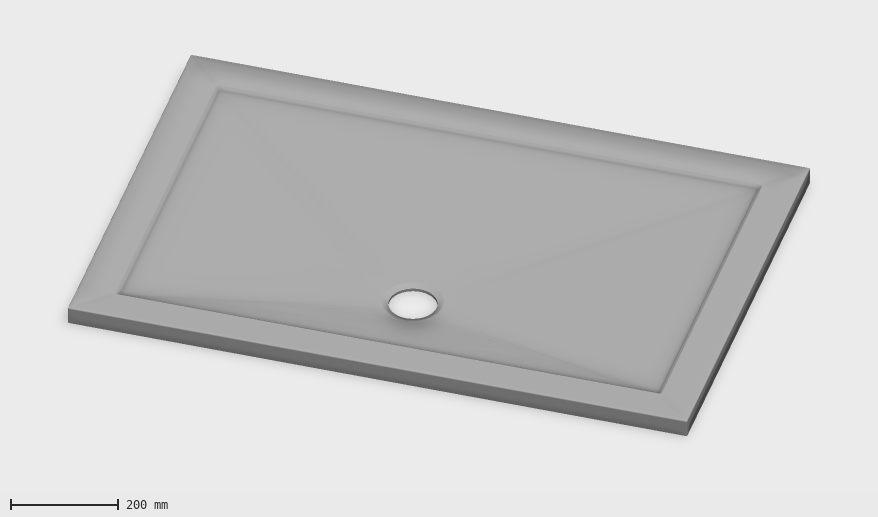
import cadquery as cq
import math

length = 1200.0
width = 800.0
height = 35.0
edge_radius = 2.0

lip_width = 7.0
lip_corner_radius = 0.6
rim_width = 71.0
rim_drop = 4.0
rim_corner_radius = 2.0
wall_width = 8.0
wall_drop = 6.0
floor_corner_radius = 4.0

drain_y = -169.0
drain_radius = 45.0
seat_radius = 58.0
seat_corner_angle = 36.0
crease_angle = 0.2
seat_z = 11.0
seat_depth = 5.0

rim_z = height - rim_drop
floor_z = rim_z - wall_drop


def rounded_rectangle(inset, radius, z):
    """Horizontal rectangular wire with rounded corners, set in from the tray sides."""
    return (
        cq.Workplane("XY", origin=(0, 0, z))
        .rect(length - 2 * inset, width - 2 * inset)
        .extrude(12)
        .edges("|Z")
        .fillet(radius)
        .faces("<Z")
        .wires()
        .val()
    )


def ruled_solid(lower, upper):
    return cq.Workplane(cq.Solid.makeLoft([lower, upper], True))


def arc(center, radius, start, end, z):
    """Horizontal arc between two angles in degrees."""

    def point(angle):
        turn = math.radians(angle)
        return cq.Vector(center[0] + radius * math.cos(turn), center[1] + radius * math.sin(turn), z)

    return cq.Edge.makeThreePointArc(point(start), point((start + end) / 2), point(end))


def floor_wire():
    """Floor outline, with each short side split at its middle."""
    inset = rim_width + wall_width
    x = length / 2 - inset
    y = width / 2 - inset
    r = floor_corner_radius
    corners = [
        arc((sx * (x - r), sy * (y - r)), r, start, start + 90, floor_z)
        for sx, sy, start in [(1, 1, 0), (-1, 1, 90), (-1, -1, 180), (1, -1, 270)]
    ]
    right_middle = cq.Vector(x, 0, floor_z)
    left_middle = cq.Vector(-x, 0, floor_z)
    back_right, back_left, front_left, front_right = corners
    line = cq.Edge.makeLine
    return cq.Wire.assembleEdges([
        line(right_middle, back_right.startPoint()),
        back_right,
        line(back_right.endPoint(), back_left.startPoint()),
        back_left,
        line(back_left.endPoint(), left_middle),
        line(left_middle, front_left.startPoint()),
        front_left,
        line(front_left.endPoint(), front_right.startPoint()),
        front_right,
        line(front_right.endPoint(), right_middle),
    ])


def seat_wire():
    """Drain seat circle, split into one arc for each edge of the floor outline."""
    a = seat_corner_angle
    c = crease_angle
    angles = [0, a, a + c, 180 - a - c, 180 - a, 180, 180 + a, 180 + a + c, 360 - a - c, 360 - a, 360]
    return cq.Wire.assembleEdges([
        arc((0, drain_y), seat_radius, start, end, seat_z) for start, end in zip(angles, angles[1:])
    ])


def body():
    block = cq.Workplane("XY").box(length, width, height, centered=(True, True, False))
    return block.edges("|Z or >Z").fillet(edge_radius)


def basin():
    """Space above the rim, the wall and the floor."""
    rim_edge = rounded_rectangle(rim_width, rim_corner_radius, rim_z)
    rim = ruled_solid(rim_edge, rounded_rectangle(lip_width, lip_corner_radius, height))
    floor_edge = rounded_rectangle(rim_width + wall_width, floor_corner_radius, floor_z)
    wall = ruled_solid(floor_edge, rim_edge)
    floor = ruled_solid(seat_wire(), floor_wire())
    return [rim, wall, floor]


def drain():
    """Conical seat above a through hole."""
    seat = cq.Solid.makeCone(
        drain_radius, seat_radius, seat_depth, cq.Vector(0, drain_y, seat_z - seat_depth)
    )
    hole = cq.Workplane("XY").center(0, drain_y).circle(drain_radius).extrude(height)
    return [cq.Workplane(seat), hole]


result = body()
for space in basin() + drain():
    result = result.cut(space)